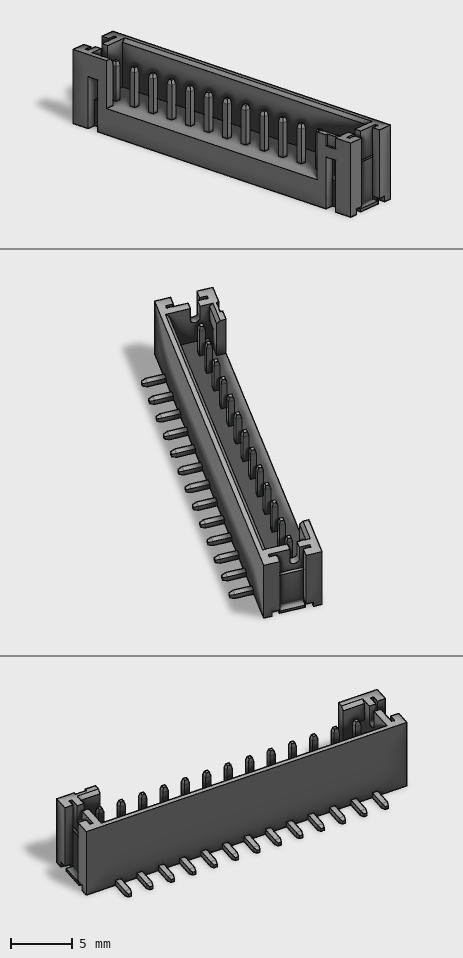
import cadquery as cq


LENGTH = 29.95
DEPTH = 5.0
HEIGHT = 6.6

END_WALL = 1.65
FRONT_WALL = 0.8
REAR_WALL = 0.72
FLOOR_Z = 2.35
LEAD_IN = 0.3

WINDOW_MARGIN = 3.62
SLIT_WIDTH = 1.02
SLIT_TOP = 4.6
MARK_HEIGHT = 1.0
MARK_DEPTH = 0.2

TAB_THICKNESS = 0.27
TAB_INSET = 0.75
POCKET_WIDTH = 3.53
CHANNEL_WIDTH = 2.25
TAB_CLEARANCE = 0.05
TAB_TOP = 3.98
FOOT_INSET = 0.12
BEND_RADIUS = 0.05

NOTCH_WIDTH = 0.8
NOTCH_Y = 2.05
NOTCH_BOTTOM = 4.7

PIN_COUNT = 13
PIN_ROW_SPAN = 24.0
PIN_SIZE = 0.5
PIN_Y = 1.92
PIN_TOP = 5.8
TAIL_LENGTH = 2.0
TIP_LENGTH = 0.4
TIP_INSET = 0.105

END_X = LENGTH / 2
MID_Y = DEPTH / 2
CAVITY_X = END_X - END_WALL
TAB_OUTER_X = END_X - TAB_INSET
TAB_INNER_X = TAB_OUTER_X - TAB_THICKNESS
RELIEF_HEIGHT = PIN_SIZE
PIN_PITCH = PIN_ROW_SPAN / (PIN_COUNT - 1)


def box(x_range, y_range, z_range):
    """Axis-aligned block between the given pairs of limits."""
    sizes = [high - low for low, high in (x_range, y_range, z_range)]
    corner = (x_range[0], y_range[0], z_range[0])
    return cq.Workplane("XY").box(*sizes, centered=False).translate(corner)


def centred(middle, width):
    """Pair of limits a given width apart about a middle value."""
    return (middle - width / 2, middle + width / 2)


def mirrored(shape):
    """The shape together with its mirror image at the other end of the row."""
    return shape.union(shape.mirror("YZ"))


def cavity():
    """Space for the plug, flared at the top along the front and rear walls."""
    front = FRONT_WALL
    rear = DEPTH - REAR_WALL
    flare_z = HEIGHT - LEAD_IN
    profile = [
        (front, FLOOR_Z),
        (rear, FLOOR_Z),
        (rear, flare_z),
        (rear + LEAD_IN, HEIGHT),
        (front - LEAD_IN, HEIGHT),
        (front, flare_z),
    ]
    return cq.Workplane("YZ").polyline(profile).close().extrude(CAVITY_X, both=True)


def front_window():
    """Wide opening in the front wall, down to the cavity floor."""
    half_width = END_X - WINDOW_MARGIN
    return box((-half_width, half_width), (0, FRONT_WALL), (FLOOR_Z, HEIGHT))


def front_slits():
    """Slits through the front wall, from the base up, flush with the cavity ends."""
    return mirrored(box((CAVITY_X - SLIT_WIDTH, CAVITY_X), (0, FRONT_WALL), (0, SLIT_TOP)))


def polarity_mark():
    """Shallow recess above the right-hand slit."""
    return box((CAVITY_X - SLIT_WIDTH, CAVITY_X), (0, MARK_DEPTH), (HEIGHT - MARK_HEIGHT, HEIGHT))


def tab_openings():
    """Pocket that holds each tab, the channel outside it and the relief at its base."""
    pocket_y = centred(MID_Y, POCKET_WIDTH)
    pocket = box((TAB_INNER_X, TAB_OUTER_X), pocket_y, (0, HEIGHT))
    channel = box((TAB_OUTER_X, END_X), centred(MID_Y, CHANNEL_WIDTH), (0, HEIGHT))
    relief = box((TAB_OUTER_X, END_X), pocket_y, (0, RELIEF_HEIGHT))
    return mirrored(pocket.union(channel).union(relief))


def end_notches():
    """Round-bottomed notch from the tab pocket to the cavity in each end wall."""
    radius = NOTCH_WIDTH / 2
    centre_z = NOTCH_BOTTOM + radius
    slot = (
        cq.Workplane("YZ", origin=(CAVITY_X, 0, 0))
        .moveTo(NOTCH_Y - radius, HEIGHT)
        .lineTo(NOTCH_Y - radius, centre_z)
        .threePointArc((NOTCH_Y, NOTCH_BOTTOM), (NOTCH_Y + radius, centre_z))
        .lineTo(NOTCH_Y + radius, HEIGHT)
        .close()
        .extrude(TAB_INNER_X - CAVITY_X)
    )
    return mirrored(slot)


def tapered_bar(length):
    """Square bar along +Z from the origin, with a tapered tip at its far end."""
    tip_size = PIN_SIZE - 2 * TIP_INSET
    shank = cq.Workplane("XY").rect(PIN_SIZE, PIN_SIZE).extrude(length - TIP_LENGTH)
    tip = (
        cq.Workplane("XY", origin=(0, 0, length - TIP_LENGTH))
        .rect(PIN_SIZE, PIN_SIZE)
        .workplane(offset=TIP_LENGTH)
        .rect(tip_size, tip_size)
        .loft()
    )
    return shank.union(tip)


def pin_bars():
    """Contact post above the cavity floor, and its solder tail behind the housing."""
    post = tapered_bar(PIN_TOP - FLOOR_Z).translate((0, PIN_Y, FLOOR_Z))
    tail = (
        tapered_bar(TAIL_LENGTH)
        .rotate((0, 0, 0), (1, 0, 0), -90)
        .translate((0, DEPTH, PIN_SIZE / 2))
    )
    return post, tail


def make_housing():
    """Housing moulded around the pins, as one solid."""
    body = box((-END_X, END_X), (0, DEPTH), (0, HEIGHT))
    for opening in (
        cavity(),
        front_window(),
        front_slits(),
        polarity_mark(),
        tab_openings(),
        end_notches(),
    ):
        body = body.cut(opening)
    first_x = -PIN_ROW_SPAN / 2
    for index in range(PIN_COUNT):
        for bar in pin_bars():
            body = body.union(bar.translate((first_x + index * PIN_PITCH, 0, 0)))
    return body


def make_tab():
    """Right-hand solder tab: an upright plate with a narrower foot turned outward."""
    plate_y = centred(MID_Y, POCKET_WIDTH - 2 * TAB_CLEARANCE)
    foot_y = centred(MID_Y, CHANNEL_WIDTH)
    plate = box((TAB_INNER_X, TAB_OUTER_X), plate_y, (0, TAB_TOP))
    foot = box((TAB_OUTER_X, END_X - FOOT_INSET), foot_y, (0, TAB_THICKNESS))
    bend_x = TAB_OUTER_X + BEND_RADIUS
    bend_z = TAB_THICKNESS + BEND_RADIUS
    bend = box((TAB_OUTER_X, bend_x), foot_y, (TAB_THICKNESS, bend_z)).cut(
        cq.Workplane("XZ", origin=(bend_x, 0, bend_z)).circle(BEND_RADIUS).extrude(-DEPTH)
    )
    return plate.union(foot).union(bend)


housing = make_housing()
right_tab = make_tab()
left_tab = right_tab.mirror("YZ")

result = cq.Compound.makeCompound([housing.val(), right_tab.val(), left_tab.val()])